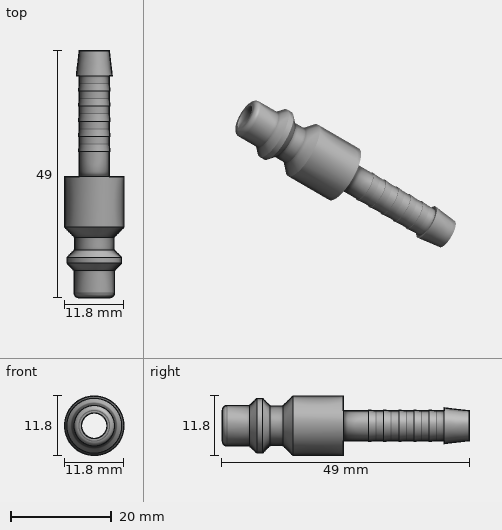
import cadquery as cq

bore_radius = 2.5
stem_radius = 3.0
ridge_radius = 3.15
barb_radius = 3.6
body_radius = 5.905
neck_radius = 3.9
collar_radius = 5.45
plug_radius = 4.0
tip_fillet = 1.0

length = 49.0
plug_end = 5.4
collar_start = 6.85
collar_end = 8.0
neck_start = 9.5
neck_end = 12.0
body_start = 14.0
body_end = 24.0
barb_start = 44.0

ridge_count = 5
ridge_length = 1.5
ridge_pitch = 2 * ridge_length
first_ridge = 29.0


def ridge_points(start):
    """Step up at the body side, then taper down toward the hose end."""
    return [
        (stem_radius, start),
        (ridge_radius, start),
        (stem_radius, start + ridge_length),
    ]


def outer_profile():
    """Half section as (radius, position along Y), from plug tip to hose end."""
    points = [
        (0, 0),
        (plug_radius, 0),
        (plug_radius, plug_end),
        (collar_radius, collar_start),
        (collar_radius, collar_end),
        (neck_radius, neck_start),
        (neck_radius, neck_end),
        (body_radius, body_start),
        (body_radius, body_end),
        (stem_radius, body_end),
    ]
    for index in range(ridge_count):
        points += ridge_points(first_ridge + index * ridge_pitch)
    points += [
        (stem_radius, barb_start),
        (barb_radius, barb_start),
        (stem_radius, length),
        (0, length),
    ]
    return points


body = cq.Workplane("XY").polyline(outer_profile()).close().revolve(360, (0, 0), (0, 1))

body = body.faces("<Y").edges().fillet(tip_fillet)

bore = cq.Workplane("XZ").circle(bore_radius).extrude(-length)
result = body.cut(bore)